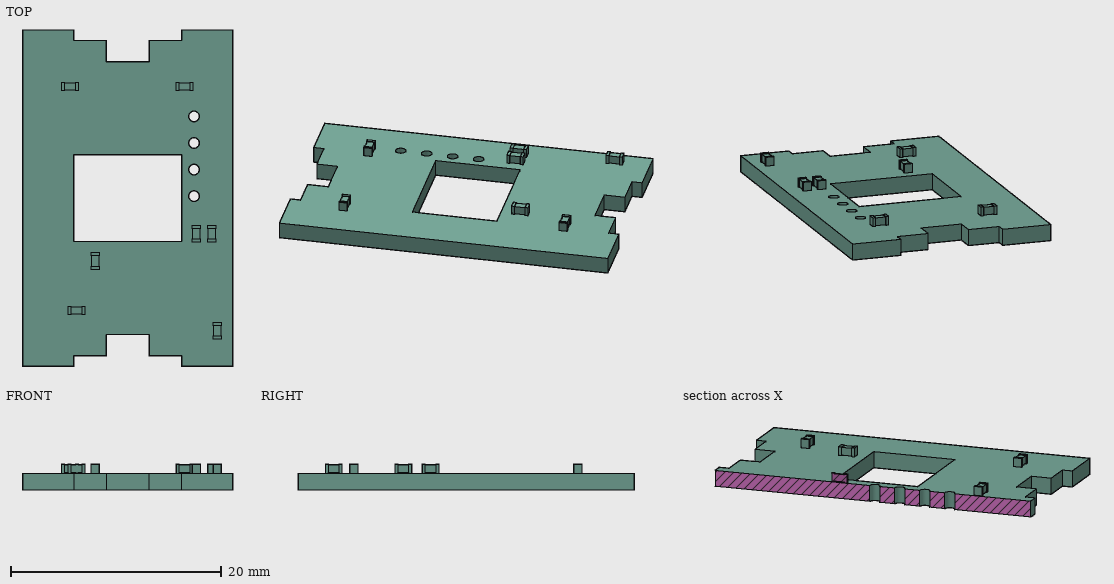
import cadquery as cq

BOARD_WIDTH = 20.0
BOARD_LENGTH = 32.0
BOARD_THICKNESS = 1.6

NOTCH_OUTER_WIDTH = 10.27
NOTCH_OUTER_DEPTH = 1.0
NOTCH_INNER_WIDTH = 4.05
NOTCH_INNER_DEPTH = 3.0

WINDOW_WIDTH = NOTCH_OUTER_WIDTH
WINDOW_LENGTH = 8.22

HOLE_DIAMETER = 1.0
HOLE_COUNT = 4
HOLE_PITCH = 2.53
HOLE_COLUMN_X = 6.3
FIRST_HOLE_Y = 0.2

TOTAL_HEIGHT = 2.45
CHIP_LENGTH = 1.6
CHIP_WIDTH = 0.8
CHIP_HEIGHT = TOTAL_HEIGHT - BOARD_THICKNESS
CAP_LENGTH = 0.3
CORE_INSET = 0.048

CHIPS_ALONG_X = [(-5.5, 10.62), (5.4, 10.62), (-4.85, -10.7)]
CHIPS_ALONG_Y = [(6.53, -3.4), (8.0, -3.4), (-3.1, -6.0), (8.5, -12.6)]


def block(length_x, length_y, height):
    """Box standing on Z = 0, centred in X and Y."""
    return cq.Workplane("XY").box(length_x, length_y, height, centered=(True, True, False))


def end_notch(width, depth):
    """Cutter that removes a centred notch of this depth from both short ends."""
    full_plate = block(width, BOARD_LENGTH, BOARD_THICKNESS)
    kept_middle = block(width, BOARD_LENGTH - 2 * depth, BOARD_THICKNESS)
    return full_plate.cut(kept_middle)


def make_board():
    board = block(BOARD_WIDTH, BOARD_LENGTH, BOARD_THICKNESS)
    board = board.cut(end_notch(NOTCH_OUTER_WIDTH, NOTCH_OUTER_DEPTH))
    board = board.cut(end_notch(NOTCH_INNER_WIDTH, NOTCH_INNER_DEPTH))
    board = board.cut(block(WINDOW_WIDTH, WINDOW_LENGTH, BOARD_THICKNESS))

    hole_centres = [(HOLE_COLUMN_X, FIRST_HOLE_Y + i * HOLE_PITCH) for i in range(HOLE_COUNT)]
    holes = (
        cq.Workplane("XY")
        .pushPoints(hole_centres)
        .circle(HOLE_DIAMETER / 2)
        .extrude(BOARD_THICKNESS)
    )
    return board.cut(holes)


def make_chip(x, y, angle):
    """Chip resting on the board, turned by angle degrees from the X direction."""
    core = block(
        CHIP_LENGTH - 2 * CAP_LENGTH,
        CHIP_WIDTH - 2 * CORE_INSET,
        CHIP_HEIGHT - 2 * CORE_INSET,
    ).translate((0, 0, CORE_INSET))

    chip = core
    cap_offset = (CHIP_LENGTH - CAP_LENGTH) / 2
    for side in (-1, 1):
        cap = block(CAP_LENGTH, CHIP_WIDTH, CHIP_HEIGHT)
        chip = chip.union(cap.translate((side * cap_offset, 0, 0)))

    return chip.rotate((0, 0, 0), (0, 0, 1), angle).translate((x, y, BOARD_THICKNESS))


board = make_board()
chips = [make_chip(x, y, 0) for x, y in CHIPS_ALONG_X]
chips += [make_chip(x, y, 90) for x, y in CHIPS_ALONG_Y]

result = cq.Compound.makeCompound([board.val(), *[chip.val() for chip in chips]])